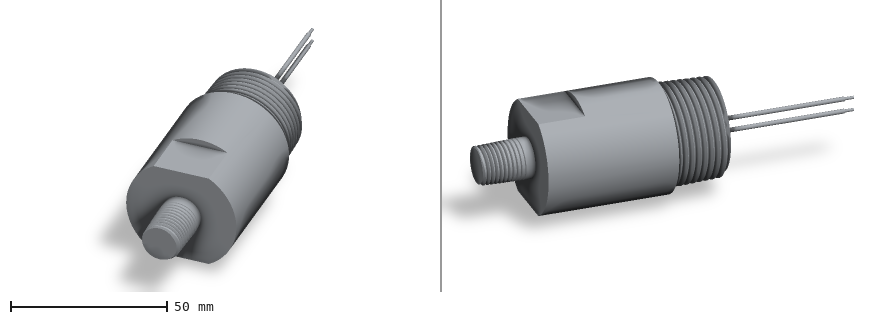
import cadquery as cq
import math

total_length = 128.4
body_length = 44.5
rear_thread_length = 18.9
front_stud_length = 17.5
wire_length = total_length - front_stud_length - body_length - rear_thread_length

body_diameter = 38.1
across_flats = 33.0
flat_length = 15.9

rear_base_diameter = 34.4
rear_tip_diameter = 32.9
rear_turns = 8.5
rear_pitch = rear_thread_length / rear_turns
rear_depth = 1.7
front_base_diameter = 13.7
front_tip_diameter = 13.0
front_pitch = 1.4
front_depth = 1.09
front_fade_depth = 0.3
front_plain_length = 3.7
thread_lead_in = 1.4
rear_start_angle = 37.0
front_start_angle = 120.0
crest_fraction = 0.1

wire_diameter = 1.5
bare_diameter = 1.01
bare_length = 3.2
wire_spacing = 4.4

overlap = 5.1
clearance = 0.1


def make_stud(base_diameter, tip_diameter, length):
    """Cone along +Z with its base at Z = 0 and a straight root reaching below it."""
    base_radius = base_diameter / 2
    profile = [(0, -overlap), (base_radius, -overlap), (base_radius, 0), (tip_diameter / 2, length), (0, length)]
    return cq.Workplane("XZ").polyline(profile).close().revolve(360, (0, 0), (0, 1))


def cut_thread(stud, base_diameter, tip_diameter, length, pitch, base_depth, tip_depth, start_angle):
    """Cut a right-hand V groove from ahead of the taper to past the tip, its depth changing evenly."""
    base_root = base_diameter / 2 - base_depth
    tip_root = tip_diameter / 2 - tip_depth
    taper_angle = math.degrees(math.atan2(base_root - tip_root, length))
    cutter_depth = max(base_depth, tip_depth) + clearance
    half_width = pitch * (1 - crest_fraction) / 2 * cutter_depth / tip_depth
    half_width = min(half_width, pitch * (1 - crest_fraction / 2) / 2)
    helix = cq.Wire.makeHelix(pitch, length + thread_lead_in + pitch, base_root, angle=-taper_angle)
    groove = (
        cq.Workplane("XZ")
        .polyline([
            (base_root, 0),
            (base_root + cutter_depth, -half_width),
            (base_root + cutter_depth, half_width),
        ])
        .close()
        .sweep(cq.Workplane(obj=helix), isFrenet=True)
    )
    groove = groove.rotate((0, 0, 0), (0, 0, 1), start_angle).translate((0, 0, -thread_lead_in))
    return stud.cut(groove)


def make_body():
    """Cylinder from Y = 0 to its shoulder, with flats facing +Z and -Z."""
    body = cq.Workplane("XZ").circle(body_diameter / 2).extrude(-body_length)
    flats = (
        cq.Workplane("XZ")
        .rect(body_diameter, body_diameter)
        .rect(body_diameter, across_flats)
        .extrude(-flat_length)
    )
    return body.cut(flats)


def make_rear_stud():
    """Thread running from the body shoulder toward +Y."""
    stud = make_stud(rear_base_diameter, rear_tip_diameter, rear_thread_length)
    stud = cut_thread(
        stud,
        rear_base_diameter,
        rear_tip_diameter,
        rear_thread_length,
        rear_pitch,
        rear_depth,
        rear_depth,
        rear_start_angle,
    )
    return stud.rotate((0, 0, 0), (1, 0, 0), -90).translate((0, body_length, 0))


def make_front_stud():
    """Thread running toward -Y, fading out on a straight neck next to the body."""
    length = front_stud_length - front_plain_length
    stud = make_stud(front_base_diameter, front_tip_diameter, length)
    stud = cut_thread(
        stud,
        front_base_diameter,
        front_tip_diameter,
        length,
        front_pitch,
        front_fade_depth,
        front_depth,
        front_start_angle,
    )
    return stud.rotate((0, 0, 0), (1, 0, 0), 90).translate((0, -front_plain_length, 0))


def make_wire(z):
    """Insulated lead with a bare end, rooted in the rear stud."""
    start = body_length + rear_thread_length
    wire = (
        cq.Workplane("XZ", origin=(0, start - overlap, z))
        .circle(wire_diameter / 2)
        .extrude(-(wire_length - bare_length + overlap))
    )
    bare_end = cq.Workplane("XZ", origin=(0, start, z)).circle(bare_diameter / 2).extrude(-wire_length)
    return wire.union(bare_end)


result = make_body().union(make_rear_stud()).union(make_front_stud())
for side in (-1, 1):
    result = result.union(make_wire(side * wire_spacing / 2))